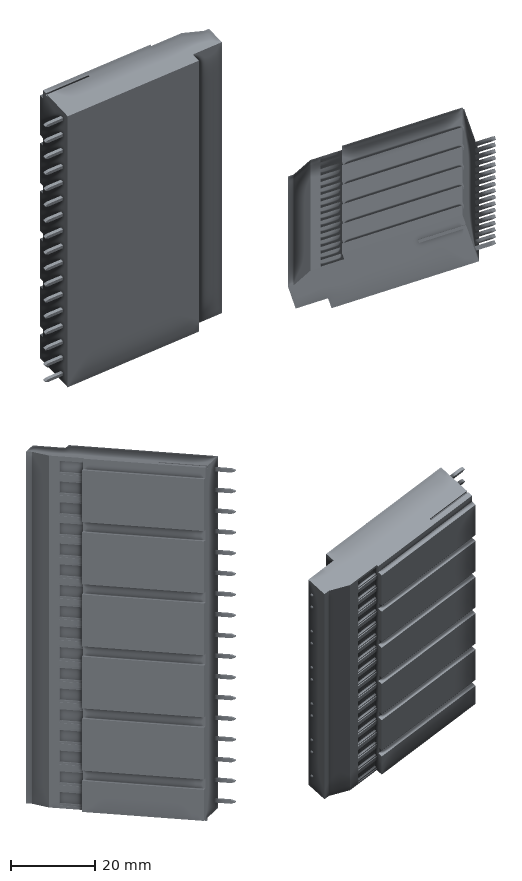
import cadquery as cq

total_height = 87.0
pole_count = 17
poles_per_section = 3
tongue_height = 0.6
body_height = total_height - tongue_height
pole_pitch = body_height / pole_count

body_width = 12.2
body_depth = 44.9
front_depth = 30.1
shoulder_x = 1.7
top_left_x = 3.9
top_right_x = 9.6
slope_start_y = 38.6
slope_end_y = 43.5
back_step_y = 36.8

slot_depth = 1.2
slot_height = 2.5

window_length = 6.0
window_height = 3.8
window_depth = 0.2
inner_window_height = 2.8
inner_window_depth = 0.7

pin_length = 5.0
pin_size = 0.9
pin_x = 9.65
pin_taper_length = 0.9
pin_tip_height = 0.3

nub_radius = 0.4
nub_x = 8.3

dovetail_x = 2.8
dovetail_neck_width = 0.5
dovetail_foot_width = 0.8
dovetail_length = 11.9


def box(x, y, z, dx, dy, dz):
    """Box with its lowest corner at x, y, z."""
    return cq.Workplane("XY").box(dx, dy, dz, centered=False).translate((x, y, z))


def pole_center(pole):
    """Height of a pole's middle, counting poles from the top."""
    return body_height - (pole + 0.5) * pole_pitch


def make_body():
    outline = [
        (0, 0),
        (body_width, 0),
        (body_width, back_step_y),
        (top_right_x, back_step_y),
        (top_right_x, body_depth),
        (top_left_x, body_depth),
        (top_left_x, slope_end_y),
        (shoulder_x, slope_start_y),
        (shoulder_x, front_depth),
        (0, front_depth),
    ]
    return cq.Workplane("XY").polyline(outline).close().extrude(body_height)


def make_slots():
    slots = cq.Workplane("XY")
    for pole in range(0, pole_count, poles_per_section):
        bottom = body_height - pole * pole_pitch - slot_height
        slots = slots.add(box(0, 0, bottom, slot_depth, front_depth, slot_height))
    return slots.combine()


def make_windows():
    windows = cq.Workplane("XY")
    for pole in range(pole_count):
        for height, depth in (
            (window_height, window_depth),
            (inner_window_height, inner_window_depth),
        ):
            bottom = pole_center(pole) - height / 2
            windows = windows.add(box(shoulder_x, front_depth, bottom, depth, window_length, height))
    return windows.combine()


def make_pin(z):
    """Square pin along -Y whose upper and lower faces taper to a blade."""
    half = pin_size / 2
    tip = pin_tip_height / 2
    taper_y = pin_taper_length - pin_length
    outline = [
        (0, -half),
        (taper_y, -half),
        (-pin_length, -tip),
        (-pin_length, tip),
        (taper_y, half),
        (0, half),
    ]
    pin = cq.Workplane("YZ").polyline(outline).close().extrude(pin_size / 2, both=True)
    return pin.translate((pin_x, 0, z))


def make_nub(z):
    """Ball whose outer half stands proud of the +Y face."""
    return cq.Workplane("XY").sphere(nub_radius).translate((nub_x, body_depth, z))


def make_dovetail(z):
    """Bar hanging down from height z, wider at its foot than at its neck."""
    half_neck = dovetail_neck_width / 2
    half_foot = dovetail_foot_width / 2
    outline = [(-half_neck, 0), (half_neck, 0), (half_foot, -tongue_height), (-half_foot, -tongue_height)]
    bar = cq.Workplane("XZ").polyline(outline).close().extrude(-dovetail_length)
    return bar.translate((dovetail_x, 0, z))


result = make_body().cut(make_slots()).cut(make_windows())
result = result.cut(make_dovetail(body_height)).union(make_dovetail(0))
for pole in range(pole_count):
    result = result.union(make_pin(pole_center(pole)))
for boundary in range(1, pole_count):
    if boundary % poles_per_section != 0:
        result = result.union(make_nub(body_height - boundary * pole_pitch))